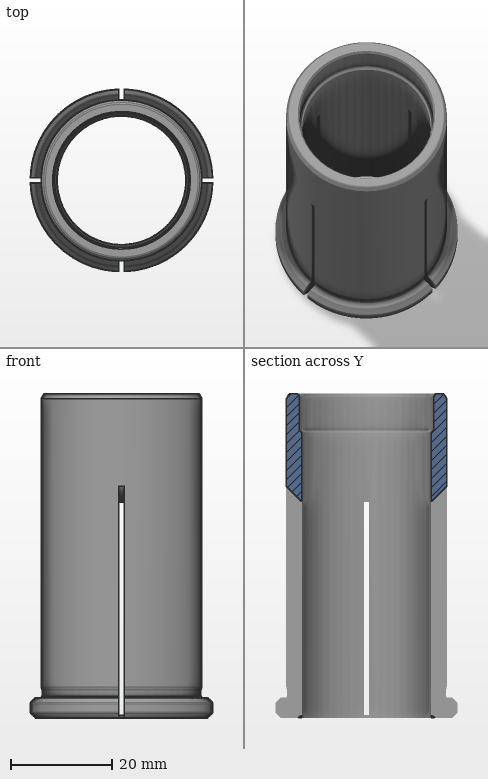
import cadquery as cq
import math

length = 64.0
body_radius = 31.75 / 2
bore_radius = 25.4 / 2

top_bore_radius = 26.5 / 2
top_bore_depth = 7.2
bore_step = top_bore_radius - bore_radius

rim_chamfer_width = 0.6
rim_chamfer_height = 1.0
rim_round = 0.4
rim_bore_chamfer_width = 0.3
rim_bore_chamfer_height = 0.6

flange_radius = 36.0 / 2
flange_height = 4.0
flange_top_chamfer = 1.0
flange_bottom_chamfer = 1.1
flange_round = 0.3

groove_depth = 0.2
groove_bottom = 4.35
groove_top = 5.6
groove_end = 6.2
groove_radius = body_radius - groove_depth

slot_count = 4
slot_width = 1.0
slot_top = 45.75
sill_height = 0.6
sill_width = 1.1
slot_clearance = 0.65

tolerance = 0.005


def make_sleeve():
    """Revolve the wall section around the Z axis."""
    outline = [
        (bore_radius, 0),
        (flange_radius - flange_bottom_chamfer, 0),
        (flange_radius, flange_bottom_chamfer),
        (flange_radius, flange_height - flange_top_chamfer),
        (flange_radius - flange_top_chamfer, flange_height),
        (body_radius, flange_height),
        (groove_radius, groove_bottom),
        (groove_radius, groove_top),
        (body_radius, groove_end),
        (body_radius, length - rim_chamfer_height),
        (body_radius - rim_chamfer_width, length),
        (top_bore_radius + rim_bore_chamfer_width, length),
        (top_bore_radius, length - rim_bore_chamfer_height),
        (top_bore_radius, length - top_bore_depth),
        (bore_radius, length - top_bore_depth - bore_step),
    ]
    section = cq.Workplane("XZ").polyline(outline).close()
    return section.revolve(360, (0, 0, 0), (0, 1, 0))


def round_circles(sleeve, circles, radius):
    """Fillet the circular edges given as (circle radius, height) pairs."""
    def is_listed(edge):
        return edge.geomType() == "CIRCLE" and any(
            math.isclose(edge.radius(), circle_radius, abs_tol=tolerance)
            and math.isclose(edge.Center().z, height, abs_tol=tolerance)
            for circle_radius, height in circles
        )

    edges = [edge for edge in sleeve.edges().vals() if is_listed(edge)]
    return sleeve.newObject(edges).fillet(radius)


def make_slot():
    """Slot through the +X wall, shorter at the bore than at the outside."""
    inner = bore_radius - slot_clearance
    outer = flange_radius + slot_clearance
    sill_slope = sill_height / sill_width
    outline = [
        (inner, sill_height + sill_slope * slot_clearance),
        (outer, sill_height - sill_slope * (outer - bore_radius)),
        (outer, slot_top + outer - body_radius),
        (inner, slot_top + inner - body_radius),
    ]
    return cq.Workplane("XZ").polyline(outline).close().extrude(slot_width / 2, both=True)


flange_circles = [
    (flange_radius, flange_bottom_chamfer),
    (flange_radius, flange_height - flange_top_chamfer),
    (flange_radius - flange_top_chamfer, flange_height),
]
rim_circles = [(body_radius - rim_chamfer_width, length)]

result = make_sleeve()
result = round_circles(result, flange_circles, flange_round)
result = round_circles(result, rim_circles, rim_round)
for index in range(slot_count):
    slot = make_slot().rotate((0, 0, 0), (0, 0, 1), index * 360 / slot_count)
    result = result.cut(slot)